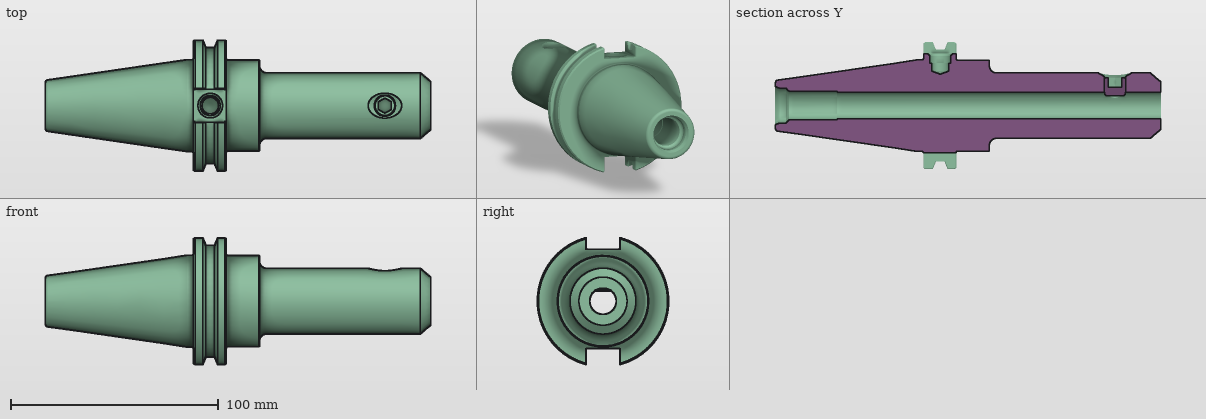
import cadquery as cq
import math

LENGTH = 185.6
TAPER_SMALL_DIA = 24.5
TAPER_LARGE_DIA = 44.4
TAPER_LENGTH = 68.3
TAPER_END_FILLET = 1.5

FLANGE_DIA = 63.3
FLANGE_START = 71.3
FLANGE_WIDTH = 16.0
FLANGE_CHAMFER_WIDTH = 1.0
FLANGE_CHAMFER_HEIGHT = 0.5
FLANGE_ROOT_FILLET = 0.5
GROOVE_CENTER = 79.5
GROOVE_FLOOR_DIA = 56.2
GROOVE_FLOOR_WIDTH = 4.0
GROOVE_MOUTH_WIDTH = 7.0
SLOT_WIDTH = 16.0
SLOT_EDGE_CHAMFER = 0.4
SLOT_FLOOR_FILLET = 0.4
UPPER_SLOT_FLOOR = 25.0
LOWER_SLOT_FLOOR = 22.8

COLLAR_DIA = 44.0
COLLAR_END = 103.2
COLLAR_CHAMFER = 0.4
SHANK_DIA = 31.7
SHANK_FILLET = 3.3
SHANK_END_FACE_DIA = 23.2
SHANK_END_CHAMFER = 5.0

MOUTH_DIA = 18.2
MOUTH_DEPTH = 2.0
PILOT_DIA = 16.5
PILOT_LENGTH = 3.2
PULL_STUD_DIA = 13.5
PULL_STUD_END = 29.7
BORE_DIA = 12.6

BLIND_MOUTH_DIA = 11.9
BLIND_DIA = 9.7
BLIND_DEPTH = 4.6
PILOT_DRILL_DIA = 8.0
PILOT_DRILL_DEPTH = 8.4
DRILL_POINT_ANGLE = 140.0

SCREW_X = 163.5
SCREW_DIA = 10.2
SCREW_TIP = 4.6
SCREW_TOP = 13.5
SCREW_TOP_CHAMFER = 0.4
SCREW_TIP_CHAMFER = 1.0
HEX_ACROSS_FLATS = 6.3
HEX_DEPTH = 4.6
COUNTERSINK_DIA = 16.1
COUNTERSINK_ANGLE = 120.0


def revolve_about_x(points):
    """Solid of revolution about the X axis from (x, radius) points."""
    return cq.Workplane("XY").polyline(points).close().revolve(360, (0, 0, 0), (1, 0, 0))


def revolve_about_z(points, x):
    """Solid of revolution about a line parallel to Z from (radius, z) points."""
    body = cq.Workplane("XZ").polyline(points).close().revolve(360, (0, 0, 0), (0, 1, 0))
    return body.translate((x, 0, 0))


def make_blank():
    """Taper, flange, collar and shank turned in one profile."""
    taper_r = TAPER_LARGE_DIA / 2
    flange_r = FLANGE_DIA / 2
    flange_end = FLANGE_START + FLANGE_WIDTH
    collar_r = COLLAR_DIA / 2
    shank_r = SHANK_DIA / 2
    root = FLANGE_ROOT_FILLET
    edge = FLANGE_CHAMFER_WIDTH
    flange_edge_r = flange_r - FLANGE_CHAMFER_HEIGHT
    diagonal = math.sqrt(0.5)
    profile = (
        cq.Workplane("XY")
        .lineTo(0, TAPER_SMALL_DIA / 2)
        .lineTo(TAPER_LENGTH, taper_r)
        .lineTo(FLANGE_START - root, taper_r)
        .threePointArc(
            (FLANGE_START - root + root * diagonal, taper_r + root - root * diagonal),
            (FLANGE_START, taper_r + root),
        )
        .lineTo(FLANGE_START, flange_edge_r)
        .lineTo(FLANGE_START + edge, flange_r)
        .lineTo(flange_end - edge, flange_r)
        .lineTo(flange_end, flange_edge_r)
        .lineTo(flange_end, collar_r + root)
        .threePointArc(
            (flange_end + root - root * diagonal, collar_r + root - root * diagonal),
            (flange_end + root, collar_r),
        )
        .lineTo(COLLAR_END - COLLAR_CHAMFER, collar_r)
        .lineTo(COLLAR_END, collar_r - COLLAR_CHAMFER)
        .lineTo(COLLAR_END, shank_r + SHANK_FILLET)
        .threePointArc(
            (COLLAR_END + SHANK_FILLET * (1 - diagonal), shank_r + SHANK_FILLET * (1 - diagonal)),
            (COLLAR_END + SHANK_FILLET, shank_r),
        )
        .lineTo(LENGTH - SHANK_END_CHAMFER, shank_r)
        .lineTo(LENGTH, SHANK_END_FACE_DIA / 2)
        .lineTo(LENGTH, 0)
        .close()
    )
    blank = profile.revolve(360, (0, 0, 0), (1, 0, 0))
    return blank.faces("<X").edges().fillet(TAPER_END_FILLET)


def make_groove():
    """V-flanked ring cut around the flange."""
    floor_r = GROOVE_FLOOR_DIA / 2
    outer_r = FLANGE_DIA / 2
    half_floor = GROOVE_FLOOR_WIDTH / 2
    half_mouth = GROOVE_MOUTH_WIDTH / 2
    return revolve_about_x([
        (GROOVE_CENTER - half_floor, floor_r),
        (GROOVE_CENTER + half_floor, floor_r),
        (GROOVE_CENTER + half_mouth, outer_r),
        (GROOVE_CENTER - half_mouth, outer_r),
    ])


def make_slot(floor, side):
    """Drive slot through the flange; side is +1 for the top and -1 for the bottom."""
    height = FLANGE_DIA / 2 - floor
    block = cq.Workplane("XY").box(FLANGE_WIDTH, SLOT_WIDTH, height)
    return block.translate((FLANGE_START + FLANGE_WIDTH / 2, 0, side * (floor + height / 2)))


def ease_slot_edges(body):
    """Chamfer the outer edges of the slot walls and round the corners at the slot floors."""
    wall_y = SLOT_WIDTH / 2
    groove_r = GROOVE_FLOOR_DIA / 2
    tolerance = 0.02
    outer_edges = []
    for edge in body.edges().vals():
        box = edge.BoundingBox()
        in_wall = box.ylen < tolerance and abs(abs(box.center.y) - wall_y) < tolerance
        reach = math.hypot(wall_y, max(abs(box.zmin), abs(box.zmax)))
        if in_wall and reach > groove_r + tolerance:
            outer_edges.append(edge)
    body = body.newObject(outer_edges).chamfer(SLOT_EDGE_CHAMFER)

    floor_edges = []
    for edge in body.edges("|X").vals():
        middle = edge.Center()
        at_wall = abs(abs(middle.y) - wall_y) < tolerance
        at_floor = min(abs(middle.z - UPPER_SLOT_FLOOR), abs(middle.z + LOWER_SLOT_FLOOR)) < tolerance
        if at_wall and at_floor:
            floor_edges.append(edge)
    return body.newObject(floor_edges).fillet(SLOT_FLOOR_FILLET)


def make_bore():
    """Stepped bore through the whole holder."""
    mouth_r = MOUTH_DIA / 2
    pilot_r = PILOT_DIA / 2
    stud_r = PULL_STUD_DIA / 2
    bore_r = BORE_DIA / 2
    pilot_end = MOUTH_DEPTH + PILOT_LENGTH
    return revolve_about_x([
        (0, 0),
        (0, mouth_r),
        (MOUTH_DEPTH, pilot_r),
        (pilot_end, pilot_r),
        (pilot_end + pilot_r - stud_r, stud_r),
        (PULL_STUD_END, stud_r),
        (PULL_STUD_END, bore_r),
        (LENGTH, bore_r),
        (LENGTH, 0),
    ])


def make_blind_hole():
    """Chamfered, stepped hole with a drill point in the upper slot floor."""
    mouth_r = BLIND_MOUTH_DIA / 2
    hole_r = BLIND_DIA / 2
    drill_r = PILOT_DRILL_DIA / 2
    top = UPPER_SLOT_FLOOR
    point_depth = drill_r / math.tan(math.radians(DRILL_POINT_ANGLE / 2))
    return revolve_about_z([
        (0, top),
        (mouth_r, top),
        (hole_r, top - (mouth_r - hole_r)),
        (hole_r, top - BLIND_DEPTH),
        (drill_r, top - BLIND_DEPTH),
        (drill_r, top - PILOT_DRILL_DEPTH),
        (0, top - PILOT_DRILL_DEPTH - point_depth),
    ], GROOVE_CENTER)


def make_screw_hole():
    """Radial hole from the axial bore to a countersink in the shank."""
    crest = SHANK_DIA / 2
    screw_r = SCREW_DIA / 2
    sink_r = COUNTERSINK_DIA / 2
    sink_depth = (sink_r - screw_r) / math.tan(math.radians(COUNTERSINK_ANGLE / 2))
    return revolve_about_z([
        (0, 0),
        (screw_r, 0),
        (screw_r, crest - sink_depth),
        (sink_r, crest),
        (0, crest),
    ], SCREW_X)


def make_holder():
    holder = make_blank().cut(make_groove())
    holder = holder.cut(make_slot(UPPER_SLOT_FLOOR, 1))
    holder = holder.cut(make_slot(LOWER_SLOT_FLOOR, -1))
    holder = ease_slot_edges(holder)
    return holder.cut(make_bore()).cut(make_blind_hole()).cut(make_screw_hole())


def make_screw():
    """Set screw with a hexagonal socket in its chamfered top."""
    hex_circle_dia = HEX_ACROSS_FLATS / math.cos(math.radians(30))
    body = (
        cq.Workplane("XY", origin=(SCREW_X, 0, SCREW_TIP))
        .circle(SCREW_DIA / 2)
        .extrude(SCREW_TOP - SCREW_TIP)
        .faces(">Z")
        .chamfer(SCREW_TOP_CHAMFER)
        .faces("<Z")
        .chamfer(SCREW_TIP_CHAMFER)
    )
    socket = (
        cq.Workplane("XY", origin=(SCREW_X, 0, SCREW_TOP - HEX_DEPTH))
        .transformed(rotate=(0, 0, 30))
        .polygon(6, hex_circle_dia)
        .extrude(HEX_DEPTH)
    )
    return body.cut(socket)


holder = make_holder()
screw = make_screw()

result = cq.Compound.makeCompound([holder.val(), screw.val()])